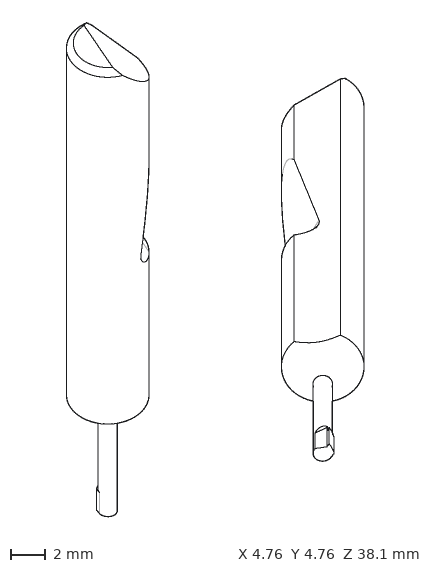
import cadquery as cq
import math


total_length = 38.1
shank_radius = 2.38
shank_bottom_z = 9.45
end_chamfer = 0.4
end_slope_start_y = -0.6

flat_distance = 1.965
flat_normal_angle = 142.7

notch_top_z = 30.0
notch_bottom_z = 21.08
notch_slope_angle = 9.4
notch_corner_radius = 1.05

neck_radius = 0.56
head_height = 1.78
point_x = -0.77
heel_x = -0.3
heel_angle = 4.5
flank_radius = 2.0
wall_foot_x = -0.52
pocket_edge_z = 1.6
end_relief_x = 3.0
end_relief_y = 3.0

tool_size = 4 * shank_radius


def make_turned_blank():
    cone_end_z = shank_bottom_z - (shank_radius - neck_radius)
    profile = (
        cq.Workplane("XZ")
        .lineTo(neck_radius, 0)
        .lineTo(neck_radius, cone_end_z)
        .lineTo(shank_radius, shank_bottom_z)
        .lineTo(shank_radius, total_length - end_chamfer)
        .lineTo(shank_radius - end_chamfer, total_length)
        .lineTo(0, total_length)
        .close()
    )
    return profile.revolve(360, (0, 0, 0), (0, 1, 0))


def make_flat_cutter():
    return (
        cq.Workplane("XY")
        .box(tool_size, tool_size, total_length, centered=(False, True, False))
        .translate((flat_distance, 0, 0))
        .rotate((0, 0, 0), (0, 0, 1), flat_normal_angle)
    )


def make_end_slope_cutter():
    run = tool_size
    return (
        cq.Workplane("YZ")
        .moveTo(end_slope_start_y, total_length)
        .lineTo(end_slope_start_y + run, total_length - run)
        .lineTo(end_slope_start_y + run, total_length)
        .close()
        .extrude(tool_size, both=True)
    )


def make_notch_cutter():
    slope = math.tan(math.radians(notch_slope_angle))
    corner_y = shank_radius - (notch_top_z - notch_bottom_z) * slope
    outer_y = shank_radius + notch_corner_radius
    outer_top_z = notch_top_z + notch_corner_radius / slope
    return (
        cq.Workplane("YZ")
        .moveTo(corner_y, notch_bottom_z)
        .lineTo(outer_y, notch_bottom_z)
        .lineTo(outer_y, outer_top_z)
        .close()
        .extrude(tool_size, both=True)
        .edges(cq.selectors.NearestToPointSelector((0, corner_y, notch_bottom_z)))
        .fillet(notch_corner_radius)
    )


def make_head():
    heel_tilt = math.radians(heel_angle)
    tangent_x = neck_radius * math.sin(heel_tilt)
    tangent_y = -neck_radius * math.cos(heel_tilt)
    heel_y = tangent_y - (tangent_x - heel_x) * math.tan(heel_tilt)
    return (
        cq.Workplane("XY")
        .moveTo(point_x, 0)
        .radiusArc((heel_x, heel_y), -flank_radius)
        .lineTo(tangent_x, tangent_y)
        .lineTo(0, 0)
        .close()
        .extrude(head_height)
    )


def make_chip_pocket_cutter():
    wall_angle = math.radians(flat_normal_angle - 90)
    wall_top_x = wall_foot_x + tool_size * math.cos(wall_angle)
    wall_top_y = tool_size * math.sin(wall_angle)
    column = (
        cq.Workplane("XY")
        .moveTo(wall_foot_x, 0)
        .lineTo(wall_top_x, wall_top_y)
        .lineTo(-tool_size, wall_top_y)
        .lineTo(-tool_size, 0)
        .close()
        .extrude(pocket_edge_z + 2 * neck_radius)
    )
    under_roof = (
        cq.Workplane("XZ")
        .moveTo(-neck_radius, 0)
        .lineTo(neck_radius, 0)
        .lineTo(neck_radius, pocket_edge_z - neck_radius)
        .lineTo(-neck_radius, pocket_edge_z + neck_radius)
        .close()
        .extrude(neck_radius, both=True)
    )
    return column.intersect(under_roof)


def make_end_relief_cutter():
    return (
        cq.Workplane("XY")
        .box(tool_size, tool_size, tool_size, centered=(True, True, False))
        .translate((0, 0, -tool_size))
        .rotate((0, 0, 0), (0, 1, 0), -end_relief_x)
        .rotate((0, 0, 0), (1, 0, 0), -end_relief_y)
        .translate((point_x, 0, 0))
    )


result = (
    make_turned_blank()
    .cut(make_flat_cutter())
    .cut(make_end_slope_cutter())
    .cut(make_notch_cutter())
    .union(make_head())
    .cut(make_chip_pocket_cutter())
    .cut(make_end_relief_cutter())
)